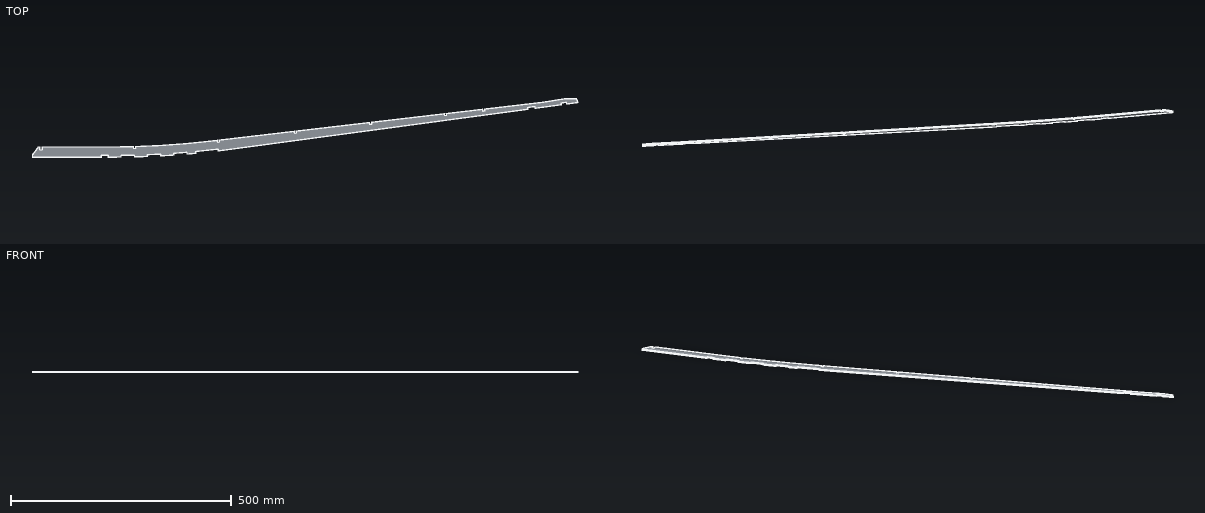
import math

import cadquery as cq

LENGTH = 1239.0
HEIGHT = 133.0
THICKNESS = 3.0

STRIP_WIDTH = 23.75
LEFT_UPRIGHT = 5.2
LEFT_SLANT_RUN = 13.9

BOTTOM_ANGLE = math.radians(7.668)
BOTTOM_BEND_X = 317.6
BOTTOM_BEND_RADIUS = 1977.0

TOP_ANGLE = math.radians(6.668)
TOP_BEND_X = 292.5
TOP_BEND_RADIUS = 1918.0

TIP_START_X = 1158.4
TIP_LEVEL_X = 1208.5
TIP_TOP_X = 1235.2

END_SLOT_X = 19.9
END_SLOT_WIDTH = 5.0
END_SLOT_DEPTH = 7.0

NOTCH_SIZE = 4.25
NOTCH_XS = (232.0, 422.0, 596.8, 767.5, 937.4, 1024.4)

RECESS_DEPTH = 4.0
FINGER = 29.9
FIRST_FINGER_X = 171.8
FULL_RECESS_COUNT = 3
HALF_RECESS_LENGTH = FINGER / 2
LAST_RECESS_SPAN = (371.2, 422.0)
TIP_RECESS_SPANS = ((1125.0, 1141.0), (1201.0, 1212.6))


def bent_edge(level_y, bend_x, radius, angle):
    """Describe an edge that is level, then an arc, then straight.

    Returns the X of both arc ends, and functions giving the edge point and slope angle at an X.
    """
    arc_start_x = bend_x - radius * math.tan(angle / 2)
    arc_end_x = arc_start_x + radius * math.sin(angle)

    def slope_at(x):
        if x <= arc_start_x:
            return 0.0
        if x >= arc_end_x:
            return angle
        return math.asin((x - arc_start_x) / radius)

    def point_at(x):
        if x >= arc_end_x:
            return (x, level_y + (x - bend_x) * math.tan(angle))
        return (x, level_y + radius * (1 - math.cos(slope_at(x))))

    return arc_start_x, arc_end_x, point_at, slope_at


BOTTOM_ARC_START, BOTTOM_ARC_END, bottom_point, bottom_slope = bent_edge(
    0.0, BOTTOM_BEND_X, BOTTOM_BEND_RADIUS, BOTTOM_ANGLE
)
TOP_ARC_START, TOP_ARC_END, top_point, top_slope = bent_edge(
    STRIP_WIDTH, TOP_BEND_X, TOP_BEND_RADIUS, TOP_ANGLE
)


def strip():
    """Flat strip with plain edges, before its slot, notches and recesses are cut."""
    bottom_arc_middle = bottom_point((BOTTOM_ARC_START + BOTTOM_ARC_END) / 2)
    top_arc_middle = top_point((TOP_ARC_START + TOP_ARC_END) / 2)
    return (
        cq.Workplane("XY")
        .moveTo(0, 0)
        .lineTo(*bottom_point(BOTTOM_ARC_START))
        .threePointArc(bottom_arc_middle, bottom_point(BOTTOM_ARC_END))
        .lineTo(*bottom_point(LENGTH))
        .lineTo(TIP_TOP_X, HEIGHT)
        .lineTo(TIP_LEVEL_X, HEIGHT)
        .lineTo(*top_point(TIP_START_X))
        .lineTo(*top_point(TOP_ARC_END))
        .threePointArc(top_arc_middle, top_point(TOP_ARC_START))
        .lineTo(LEFT_SLANT_RUN, STRIP_WIDTH)
        .lineTo(0, LEFT_UPRIGHT)
        .close()
        .extrude(THICKNESS)
    )


def top_notch(x, width, depth):
    """Cutter for a notch square to the top edge, reaching as far outside as inside."""
    return (
        cq.Workplane("XY")
        .rect(width, 2 * depth)
        .extrude(THICKNESS)
        .rotate((0, 0, 0), (0, 0, 1), math.degrees(top_slope(x)))
        .translate(top_point(x))
    )


def bottom_recess(start_x, end_x):
    """Cutter for a recess whose floor lies one recess depth inside the bottom edge."""

    def offset_point(x, distance):
        edge_x, edge_y = bottom_point(x)
        slope = bottom_slope(x)
        return (edge_x - distance * math.sin(slope), edge_y + distance * math.cos(slope))

    corners = [
        offset_point(start_x, -RECESS_DEPTH),
        offset_point(end_x, -RECESS_DEPTH),
        offset_point(end_x, RECESS_DEPTH),
        offset_point(start_x, RECESS_DEPTH),
    ]
    return cq.Workplane("XY").polyline(corners).close().extrude(THICKNESS)


def recess_spans():
    """Return a half-length recess, then full ones between fingers, then the single ones."""
    spans = [(FIRST_FINGER_X - HALF_RECESS_LENGTH, FIRST_FINGER_X)]
    for i in range(FULL_RECESS_COUNT):
        start_x = FIRST_FINGER_X + (2 * i + 1) * FINGER
        spans.append((start_x, start_x + FINGER))
    spans.append(LAST_RECESS_SPAN)
    spans.extend(TIP_RECESS_SPANS)
    return spans


result = strip().cut(top_notch(END_SLOT_X, END_SLOT_WIDTH, END_SLOT_DEPTH))
for notch_x in NOTCH_XS:
    result = result.cut(top_notch(notch_x, NOTCH_SIZE, NOTCH_SIZE))
for recess_start, recess_end in recess_spans():
    result = result.cut(bottom_recess(recess_start, recess_end))